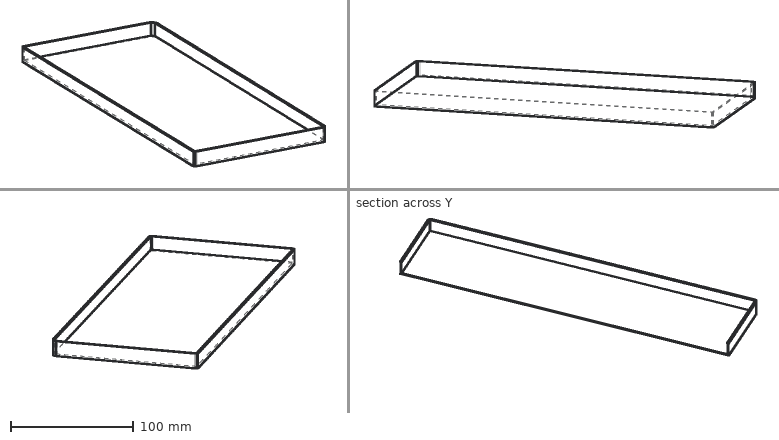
import cadquery as cq
import math

length = 290.3
left_width = 124.5
back_taper = 0.65
right_width = left_width - back_taper
height = 12.8

thickness = 1.5

front_radius = 2.5
back_right_radius = 3.0
back_left_radius = 5.2
facets = 3
back_left_facets = 5

corners = [
    (front_radius, front_radius, front_radius, 180, facets),
    (length - front_radius, front_radius, front_radius, 270, facets),
    (length - back_right_radius, right_width - back_right_radius, back_right_radius, 0, facets),
    (back_left_radius, left_width - back_left_radius, back_left_radius, 90, back_left_facets),
]


def faceted_outline(inset):
    """Closed outline of the tray, moved inwards by the inset."""
    points = []
    for center_x, center_y, outer_radius, start_angle, facet_count in corners:
        radius = outer_radius - inset
        for step in range(facet_count + 1):
            angle = math.radians(start_angle + 90 * step / facet_count)
            x = center_x + radius * math.cos(angle)
            y = center_y + radius * math.sin(angle)
            points.append((x, y))
    return cq.Workplane("XY").polyline(points).close()


body = faceted_outline(0).extrude(height)

cavity = faceted_outline(thickness).extrude(height).translate((0, 0, thickness))

result = body.cut(cavity)